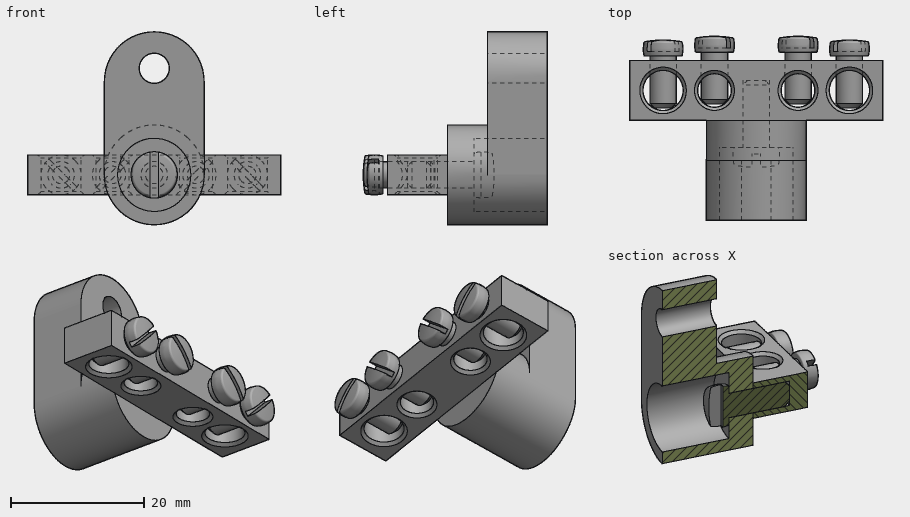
import cadquery as cq
import math


BARREL_DIAMETER = 15.0
BARREL_LENGTH = 15.0
ARM_THICKNESS = 9.0
ARM_RISE = 14.0
MOUNTING_HOLE_DIAMETER = 4.5
MOUNTING_HOLE_HEIGHT = 16.0
BORE_DIAMETER = 11.0
BORE_DEPTH = 11.0

BAR_LENGTH = 38.0
BAR_DEPTH = 9.0
BAR_HEIGHT = 6.0
BAR_BACK = BARREL_LENGTH + BAR_DEPTH
BAR_MIDDLE = BARREL_LENGTH + BAR_DEPTH / 2
WIRE_HOLE_CHAMFER = 0.5
INNER_WIRE_HOLE_X = 6.27
INNER_WIRE_HOLE_DIAMETER = 5.0
OUTER_WIRE_HOLE_X = 14.0
OUTER_WIRE_HOLE_DIAMETER = 6.0

CLAMP_SHANK_LENGTH = 7.8
CLAMP_HEAD_DIAMETER = 6.0
CLAMP_RIM_DIAMETER = 5.7
CLAMP_RIM_HEIGHT = 2.15
CLAMP_HEAD_HEIGHT = 2.45
CLAMP_SLOT_WIDTH = 0.8
CLAMP_SLOT_DEPTH = 1.75
INNER_HEAD_GAP = 1.2
OUTER_HEAD_GAP = 0.65
INNER_SLOT_ANGLE = -45.0
OUTER_SLOT_ANGLE = 45.0

SHANK_DIAMETER = 4.0
TIP_CHAMFER = 0.7
CROWN_FILLET = 0.35
UNDERSIDE_FILLET = 0.2

FIXING_GRIP_IN_BAR = 6.0
FIXING_SHANK_LENGTH = BARREL_LENGTH - BORE_DEPTH + FIXING_GRIP_IN_BAR
FIXING_HEAD_DIAMETER = 7.0
FIXING_RIM_DIAMETER = 6.6
FIXING_RIM_HEIGHT = 2.7
FIXING_HEAD_HEIGHT = 3.0
FIXING_SLOT_WIDTH = 1.25
FIXING_SLOT_DEPTH = 2.0
FIXING_SLOT_ANGLE = 90.0


def rod(diameter, start, end, x=0.0, z=0.0):
    """Cylinder along Y from start to end."""
    plane = cq.Plane(origin=(x, start, z), xDir=(1, 0, 0), normal=(0, 1, 0))
    return cq.Workplane(plane).circle(diameter / 2).extrude(end - start)


def make_head(diameter, rim_diameter, rim_height, height, slot_width, slot_depth, slot_angle):
    """Slotted screw head on the Y axis, seated at Y = 0, with bulging sides and a domed crown."""
    rim_radius = rim_diameter / 2
    dome_rise = height - rim_height
    dome_radius = (rim_radius ** 2 + dome_rise ** 2) / (2 * dome_rise)
    dome_middle_x = rim_radius / 2
    dome_middle_y = height - dome_radius + math.sqrt(dome_radius ** 2 - dome_middle_x ** 2)
    profile = (
        cq.Workplane("XY")
        .lineTo(rim_radius, 0)
        .threePointArc((diameter / 2, rim_height / 2), (rim_radius, rim_height))
        .threePointArc((dome_middle_x, dome_middle_y), (0, height))
        .close()
    )
    head = profile.revolve(360, (0, 0, 0), (0, 1, 0))
    head = head.faces(">Y").edges("%CIRCLE").fillet(CROWN_FILLET)
    head = head.faces("<Y").edges("%CIRCLE").fillet(UNDERSIDE_FILLET)
    slot = (
        cq.Workplane("XY")
        .box(2 * diameter, slot_depth, slot_width)
        .translate((0, height - slot_depth / 2, 0))
        .rotate((0, 0, 0), (0, 1, 0), slot_angle)
    )
    return head.cut(slot)


def make_shank(length):
    """Screw shank from Y = 0 toward -Y, with a chamfered tip."""
    return rod(SHANK_DIAMETER, -length, 0).faces("<Y").chamfer(TIP_CHAMFER)


def make_insulator():
    barrel = rod(BARREL_DIAMETER, 0, BARREL_LENGTH)
    arm_end = rod(BARREL_DIAMETER, 0, ARM_THICKNESS, z=ARM_RISE)
    arm = cq.Workplane("XY").box(BARREL_DIAMETER, ARM_THICKNESS, ARM_RISE, centered=(True, False, False))
    return (
        barrel.union(arm)
        .union(arm_end)
        .cut(rod(BORE_DIAMETER, 0, BORE_DEPTH))
        .cut(rod(SHANK_DIAMETER, BORE_DEPTH, BARREL_LENGTH))
        .cut(rod(MOUNTING_HOLE_DIAMETER, 0, ARM_THICKNESS, z=MOUNTING_HOLE_HEIGHT))
    )


def wire_hole(x, diameter):
    """Vertical through hole, chamfered at both ends, as a solid to cut away."""
    radius = diameter / 2
    mouth_radius = radius + WIRE_HOLE_CHAMFER
    top = BAR_HEIGHT / 2
    chamfer_end = top - WIRE_HOLE_CHAMFER
    profile = (
        cq.Workplane("XZ")
        .polyline([
            (0, -top), (mouth_radius, -top), (radius, -chamfer_end),
            (radius, chamfer_end), (mouth_radius, top), (0, top),
        ])
        .close()
    )
    return profile.revolve(360, (0, 0, 0), (0, 1, 0)).translate((x, BAR_MIDDLE, 0))


def make_bar():
    bar = cq.Workplane("XY").box(BAR_LENGTH, BAR_DEPTH, BAR_HEIGHT).translate((0, BAR_MIDDLE, 0))
    for hole_x, diameter in (
        (INNER_WIRE_HOLE_X, INNER_WIRE_HOLE_DIAMETER),
        (OUTER_WIRE_HOLE_X, OUTER_WIRE_HOLE_DIAMETER),
    ):
        for x in (-hole_x, hole_x):
            bar = bar.cut(wire_hole(x, diameter))
            bar = bar.cut(rod(SHANK_DIAMETER, BAR_MIDDLE, BAR_BACK, x=x))
    return bar.cut(rod(SHANK_DIAMETER, BARREL_LENGTH, BARREL_LENGTH + FIXING_GRIP_IN_BAR))


def make_clamp_screw(x, head_gap, slot_angle):
    head = make_head(
        CLAMP_HEAD_DIAMETER, CLAMP_RIM_DIAMETER, CLAMP_RIM_HEIGHT, CLAMP_HEAD_HEIGHT,
        CLAMP_SLOT_WIDTH, CLAMP_SLOT_DEPTH, slot_angle,
    )
    shank = make_shank(CLAMP_SHANK_LENGTH)
    return head.union(shank).translate((x, BAR_BACK + head_gap, 0))


def make_fixing_screw():
    head = make_head(
        FIXING_HEAD_DIAMETER, FIXING_RIM_DIAMETER, FIXING_RIM_HEIGHT, FIXING_HEAD_HEIGHT,
        FIXING_SLOT_WIDTH, FIXING_SLOT_DEPTH, FIXING_SLOT_ANGLE,
    )
    shank = make_shank(FIXING_SHANK_LENGTH)
    screw = head.union(shank)
    return screw.rotate((0, 0, 0), (0, 0, 1), 180).translate((0, BORE_DEPTH, 0))


insulator = make_insulator()
bar = make_bar()
fixing_screw = make_fixing_screw()
clamp_screws = [
    make_clamp_screw(side * x, head_gap, slot_angle)
    for x, head_gap, slot_angle in (
        (INNER_WIRE_HOLE_X, INNER_HEAD_GAP, INNER_SLOT_ANGLE),
        (OUTER_WIRE_HOLE_X, OUTER_HEAD_GAP, OUTER_SLOT_ANGLE),
    )
    for side in (-1, 1)
]

result = cq.Compound.makeCompound(
    [insulator.val(), bar.val(), fixing_screw.val(), *[screw.val() for screw in clamp_screws]]
)